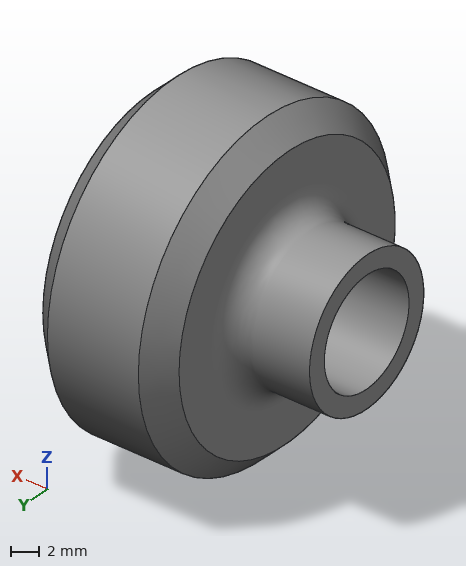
import cadquery as cq

total_length = 19.0
flange_width = 12.0
flange_diameter = 28.0
flange_chamfer = 2.0
neck_diameter = 12.7
neck_fillet = 2.0
bore_diameter = 9.4

neck_length = total_length - flange_width


def cylinder_along_x(start_x, diameter, length):
    """Solid cylinder centred on the X axis, running toward +X from start_x."""
    return cq.Workplane("YZ", origin=(start_x, 0, 0)).circle(diameter / 2).extrude(length)


def make_flange():
    """Wide disc with both rims chamfered."""
    disc = cylinder_along_x(neck_length, flange_diameter, flange_width)
    return disc.faces("<X or >X").edges().chamfer(flange_chamfer)


def make_body():
    """Flange and neck, blended by a concave fillet where they meet."""
    neck = cylinder_along_x(0, neck_diameter, total_length)
    body = make_flange().union(neck)
    neck_root = cq.selectors.RadiusNthSelector(0)
    return body.faces("<X[1]").edges(neck_root).fillet(neck_fillet)


bore = cylinder_along_x(0, bore_diameter, total_length)
result = make_body().cut(bore)